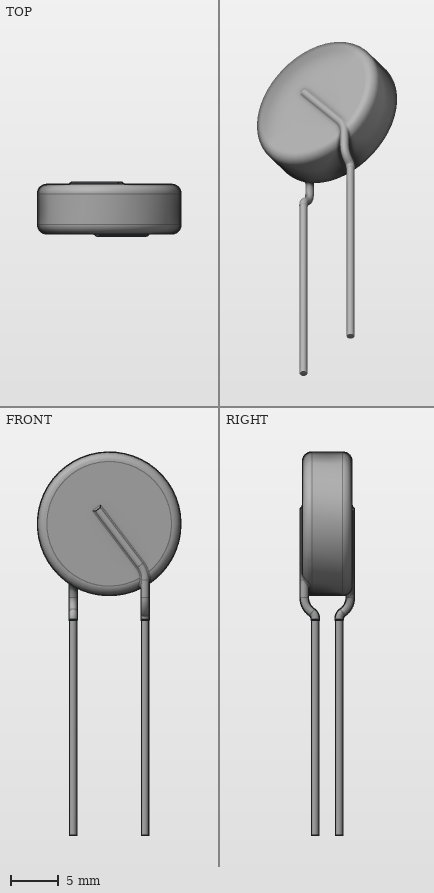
import cadquery as cq
import math

disc_diameter = 15.0
disc_thickness = 5.2
disc_edge_radius = 1.0

overall_height = 40.0
overall_depth = 5.7
lead_pitch_x = 7.5
lead_pitch_y = 2.5
wire_diameter = 0.8
coated_diameter = 0.9
seam_fillet_radius = 0.2

tip_x = -1.19
tip_z = 1.5
corner_z = -5.0
corner_radius = 2.5

crank_top_z = -7.7
crank_height = 2.2
upper_bend_share = 0.7
coating_end_z = -10.0
coating_taper_height = 0.1

lead_x = lead_pitch_x / 2
upper_y = -(overall_depth - coated_diameter) / 2
lower_y = -lead_pitch_y / 2
lead_bottom_z = disc_diameter / 2 - overall_height
touch_tolerance = 1e-4


def make_disc():
    disc = cq.Workplane("XZ").circle(disc_diameter / 2).extrude(disc_thickness / 2, both=True)
    return disc.edges().fillet(disc_edge_radius)


def corner_arc(slant):
    """Start, middle and end of the bend from the slanted run to the vertical run."""
    tangent_length = corner_radius * math.tan(slant / 2)
    end_z = corner_z - tangent_length
    centre_x = lead_x - corner_radius
    points = []
    for angle in (slant, slant / 2, 0):
        x = centre_x + corner_radius * math.cos(angle)
        z = end_z + corner_radius * math.sin(angle)
        points.append(cq.Vector(x, upper_y, z))
    return points


def crank_arcs():
    """The two tangent arcs, turning opposite ways, that bring the lead towards the disc's mid plane."""
    crank_offset = lower_y - upper_y
    angle = 2 * math.atan(crank_offset / crank_height)
    radius_sum = crank_height / math.sin(angle)
    upper_radius = upper_bend_share * radius_sum
    lower_radius = radius_sum - upper_radius
    crank_bottom_z = crank_top_z - crank_height
    upper = []
    lower = []
    for turn in (0, angle / 2, angle):
        inward = 1 - math.cos(turn)
        along = math.sin(turn)
        upper.append(cq.Vector(lead_x, upper_y + upper_radius * inward, crank_top_z - upper_radius * along))
        lower.append(cq.Vector(lead_x, lower_y - lower_radius * inward, crank_bottom_z + lower_radius * along))
    lower.reverse()
    return upper, lower


def make_lead():
    """Front lead: coated part that follows the bends, a short taper, then straight bare wire."""
    tip = cq.Vector(tip_x, upper_y, tip_z)
    slant = math.atan2(lead_x - tip_x, tip_z - corner_z)
    corner = corner_arc(slant)
    upper_bend, lower_bend = crank_arcs()
    coating_end = cq.Vector(lead_x, lower_y, coating_end_z)
    path = cq.Wire.assembleEdges([
        cq.Edge.makeLine(tip, corner[0]),
        cq.Edge.makeThreePointArc(*corner),
        cq.Edge.makeLine(corner[-1], upper_bend[0]),
        cq.Edge.makeThreePointArc(*upper_bend),
        cq.Edge.makeThreePointArc(*lower_bend),
        cq.Edge.makeLine(lower_bend[-1], coating_end),
    ])
    tip_plane = cq.Plane(origin=tip, xDir=(0, 1, 0), normal=corner[0] - tip)
    coated = cq.Workplane(tip_plane).circle(coated_diameter / 2).sweep(cq.Workplane(path))
    bare_length = coating_end_z - lead_bottom_z
    bare = cq.Workplane(origin=(lead_x, lower_y, lead_bottom_z)).circle(wire_diameter / 2).extrude(bare_length)
    taper = cq.Solid.makeCone(
        coated_diameter / 2, wire_diameter / 2, coating_taper_height, pnt=coating_end, dir=cq.Vector(0, 0, -1)
    )
    return coated.union(bare).union(cq.Workplane(taper))


def seam_edges(body, disc, lead):
    """Edges of the joined body that lie on both the disc and the lead."""
    seams = []
    for edge in body.edges().vals():
        middle = cq.Vertex.makeVertex(*edge.positionAt(0.5).toTuple())
        on_disc = middle.distance(disc.val()) < touch_tolerance
        on_lead = middle.distance(lead.val()) < touch_tolerance
        if on_disc and on_lead:
            seams.append(edge)
    return seams


def join_lead(body, disc, lead):
    joined = body.union(lead)
    return joined.newObject(seam_edges(joined, disc, lead)).fillet(seam_fillet_radius)


disc = make_disc()
front_lead = make_lead()
back_lead = front_lead.rotate((0, 0, 0), (0, 0, 1), 180)
result = disc
for lead in (front_lead, back_lead):
    result = join_lead(result, disc, lead)